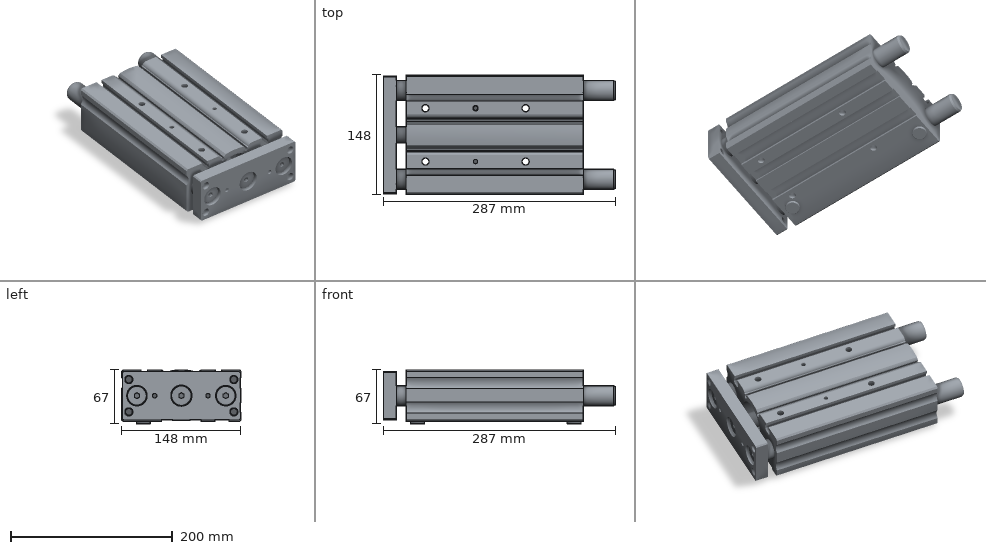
import cadquery as cq

EPS = 1.0

PLATE_LENGTH = 16.0
PLATE_WIDTH = 146.0
PLATE_HEIGHT = 60.0
PLATE_CHAMFER = 1.6
CORNER_HOLE_DIA = 8.5
CORNER_HOLE_CHAMFER = 0.8
CORNER_HOLE_Y = 65.0
CORNER_HOLE_Z = 20.0
PLATE_PIN_DIA = 5.5

PLATE_GAP = 12.0
HOUSING_LENGTH = 219.5
HOUSING_WIDTH = 148.0
HOUSING_HEIGHT = 64.0
TOP_EDGE_CHAMFER = 2.0
BOTTOM_EDGE_CHAMFER = 2.0
HOUSING_FRONT = PLATE_LENGTH + PLATE_GAP
HOUSING_REAR = HOUSING_FRONT + HOUSING_LENGTH
HALF_WIDTH = HOUSING_WIDTH / 2
HALF_HEIGHT = HOUSING_HEIGHT / 2

TOP_PAD_EDGE = 25.5
TOP_VALLEY_OUTER = 21.0
TOP_VALLEY_INNER = 16.2
TOP_CROWN_EDGE = 13.5
TOP_CROWN_DROP = 1.4
TOP_VALLEY_DEPTH = 4.2
TOP_PAD_BULGE = 0.6
BOTTOM_PAD_EDGE = 24.5
BOTTOM_CROWN_EDGE = 10.8
BOTTOM_CROWN_DROP = 1.0
BOTTOM_VALLEY_DEPTH = 3.0

SENSOR_SLOT_Y = 17.9
SENSOR_SLOT_MOUTH = 3.0
SENSOR_SLOT_DIA = 4.6
SENSOR_SLOT_Z = 24.8

T_SLOT_Y = 46.0
T_SLOT_MOUTH = 7.8
T_SLOT_LIP = 4.5
T_SLOT_INNER_WIDTH = 12.5
T_SLOT_DEPTH = 12.0
T_SLOT_FLOOR_CHAMFER = 2.0

BOTTOM_GROOVE_INNER = 41.5
BOTTOM_GROOVE_OUTER = 58.9
BOTTOM_GROOVE_DEPTH = 3.0

SIDE_GROOVE_DEPTH = 3.0
UPPER_SIDE_GROOVE = (8.6, 22.8)
LOWER_SIDE_GROOVE = (-21.3, -7.8)

MOUNT_HOLE_DIA = 8.5
MOUNT_HOLE_Y = 33.0
MOUNT_HOLE_OFFSET = 24.0
MOUNT_HOLE_PITCH = 124.0
TOP_PIN_DIA = 5.5
TOP_PIN_DEPTH = 8.0
TOP_PIN_CHAMFER = 0.6

FRONT_RECESS_DIA = 49.0
FRONT_RECESS_DEPTH = 30.0

GUIDE_DIA = 25.0
GUIDE_Y = 55.0
GUIDE_REAR_LENGTH = 39.5
GUIDE_END_BEVEL_LENGTH = 2.5
GUIDE_END_BEVEL = 1.2
PISTON_ROD_DIA = 20.5
PISTON_ROD_END_WALL = 15.0

COUNTERBORE_DEPTH = 10.0
GUIDE_COUNTERBORE_DIA = 25.3
PISTON_COUNTERBORE_DIA = 26.2
HEAD_CLEARANCE = 1.0
HEAD_RECESS = 4.0
HEAD_FILLET = 0.6
SHANK_DIA = 12.0
SOCKET_ACROSS_CORNERS = 7.3
SOCKET_DEPTH = 4.0

PLUG_DIA = 17.6
PLUG_THICKNESS = 3.0
PLUG_STEM_DIA = 13.0
PLUG_STEM_LENGTH = 9.0
PLUG_CHAMFER = 0.4
PLUG_Y = 47.0
PLUG_FRONT_OFFSET = 14.2
PLUG_REAR_OFFSET = 11.5
PLUG_XS = (HOUSING_FRONT + PLUG_FRONT_OFFSET, HOUSING_REAR - PLUG_REAR_OFFSET)


def cylinder_x(diameter, x_start, x_end, y=0.0):
    """Cylinder along X, centred on height Z = 0."""
    section = cq.Workplane("YZ", origin=(x_start, y, 0)).circle(diameter / 2)
    return section.extrude(x_end - x_start)


def cylinder_z(diameter, x, y, z_start, z_end):
    """Cylinder along Z."""
    section = cq.Workplane("XY", origin=(x, y, z_start)).circle(diameter / 2)
    return section.extrude(z_end - z_start)


def housing_section():
    """Workplane for Y-Z sections that run the length of the housing."""
    return cq.Workplane("YZ", origin=(HOUSING_FRONT, 0, 0))


def box_groove(y_a, y_b, z_a, z_b):
    """Rectangular groove along the whole housing."""
    section = housing_section().moveTo((y_a + y_b) / 2, (z_a + z_b) / 2)
    return section.rect(abs(y_b - y_a), abs(z_b - z_a)).extrude(HOUSING_LENGTH)


def housing_block():
    """Housing bar with its crowned top and bottom faces."""
    top = HALF_HEIGHT
    bottom = -HALF_HEIGHT
    top_edge = HALF_WIDTH - TOP_EDGE_CHAMFER
    bottom_edge = HALF_WIDTH - BOTTOM_EDGE_CHAMFER
    top_valley = top - TOP_VALLEY_DEPTH
    top_crown = top - TOP_CROWN_DROP
    bulge_y = (TOP_PAD_EDGE + TOP_VALLEY_OUTER) / 2 - TOP_PAD_BULGE
    bulge_z = (top + top_valley) / 2 + TOP_PAD_BULGE
    bottom_valley = bottom + BOTTOM_VALLEY_DEPTH
    bottom_crown = bottom + BOTTOM_CROWN_DROP
    return (
        housing_section()
        .moveTo(-HALF_WIDTH, top - TOP_EDGE_CHAMFER)
        .lineTo(-top_edge, top)
        .lineTo(-TOP_PAD_EDGE, top)
        .threePointArc((-bulge_y, bulge_z), (-TOP_VALLEY_OUTER, top_valley))
        .lineTo(-TOP_VALLEY_INNER, top_valley)
        .lineTo(-TOP_CROWN_EDGE, top_crown)
        .threePointArc((0, top), (TOP_CROWN_EDGE, top_crown))
        .lineTo(TOP_VALLEY_INNER, top_valley)
        .lineTo(TOP_VALLEY_OUTER, top_valley)
        .threePointArc((bulge_y, bulge_z), (TOP_PAD_EDGE, top))
        .lineTo(top_edge, top)
        .lineTo(HALF_WIDTH, top - TOP_EDGE_CHAMFER)
        .lineTo(HALF_WIDTH, bottom + BOTTOM_EDGE_CHAMFER)
        .lineTo(bottom_edge, bottom)
        .lineTo(BOTTOM_PAD_EDGE, bottom)
        .lineTo(BOTTOM_PAD_EDGE, bottom_valley)
        .lineTo(BOTTOM_CROWN_EDGE, bottom_valley)
        .lineTo(BOTTOM_CROWN_EDGE, bottom_crown)
        .lineTo(-BOTTOM_CROWN_EDGE, bottom_crown)
        .lineTo(-BOTTOM_CROWN_EDGE, bottom_valley)
        .lineTo(-BOTTOM_PAD_EDGE, bottom_valley)
        .lineTo(-BOTTOM_PAD_EDGE, bottom)
        .lineTo(-bottom_edge, bottom)
        .lineTo(-HALF_WIDTH, bottom + BOTTOM_EDGE_CHAMFER)
        .close()
        .extrude(HOUSING_LENGTH)
    )


def t_slot(y):
    """T-slot opening to the top face."""
    top = HALF_HEIGHT
    mouth = box_groove(y - T_SLOT_MOUTH / 2, y + T_SLOT_MOUTH / 2, top - T_SLOT_DEPTH, top + EPS)
    inner_half = T_SLOT_INNER_WIDTH / 2
    inner = box_groove(y - inner_half, y + inner_half, top - T_SLOT_DEPTH, top - T_SLOT_LIP)
    inner = inner.faces("<Z").edges("|X").chamfer(T_SLOT_FLOOR_CHAMFER)
    return mouth.union(inner)


def sensor_slot(y):
    """Keyhole slot opening to the top valley."""
    half_mouth = SENSOR_SLOT_MOUTH / 2
    mouth = box_groove(y - half_mouth, y + half_mouth, SENSOR_SLOT_Z, HALF_HEIGHT)
    round_bottom = (
        housing_section()
        .center(y, SENSOR_SLOT_Z)
        .circle(SENSOR_SLOT_DIA / 2)
        .extrude(HOUSING_LENGTH)
    )
    return mouth.union(round_bottom)


def side_groove(side, z_range):
    """Rounded groove in the +Y (side = 1) or -Y (side = -1) face."""
    z_low, z_high = z_range
    face = side * HALF_WIDTH
    deepest = face - side * SIDE_GROOVE_DEPTH
    return (
        housing_section()
        .moveTo(face, z_low)
        .threePointArc((deepest, (z_low + z_high) / 2), (face, z_high))
        .close()
        .extrude(HOUSING_LENGTH)
    )


def build_housing():
    body = housing_block()
    for side in (-1, 1):
        body = body.cut(t_slot(side * T_SLOT_Y))
        body = body.cut(sensor_slot(side * SENSOR_SLOT_Y))
        body = body.cut(side_groove(side, UPPER_SIDE_GROOVE))
    body = body.cut(side_groove(-1, LOWER_SIDE_GROOVE))
    groove_floor = BOTTOM_GROOVE_DEPTH - HALF_HEIGHT
    body = body.cut(
        box_groove(-BOTTOM_GROOVE_OUTER, -BOTTOM_GROOVE_INNER, -HALF_HEIGHT - EPS, groove_floor)
    )

    first_x = HOUSING_FRONT + MOUNT_HOLE_OFFSET
    pin_x = first_x + MOUNT_HOLE_PITCH / 2
    for y in (-MOUNT_HOLE_Y, MOUNT_HOLE_Y):
        for x in (first_x, first_x + MOUNT_HOLE_PITCH):
            body = body.cut(cylinder_z(MOUNT_HOLE_DIA, x, y, -HALF_HEIGHT - EPS, HALF_HEIGHT + EPS))
        body = body.cut(cylinder_z(TOP_PIN_DIA, pin_x, y, HALF_HEIGHT - TOP_PIN_DEPTH, HALF_HEIGHT))

    pin_radius = TOP_PIN_DIA / 2
    countersink = cq.Solid.makeCone(
        pin_radius,
        pin_radius + TOP_PIN_CHAMFER,
        TOP_PIN_CHAMFER,
        pnt=cq.Vector(pin_x, MOUNT_HOLE_Y, HALF_HEIGHT - TOP_PIN_CHAMFER),
    )
    body = body.cut(cq.Workplane(countersink))

    for y in (-GUIDE_Y, GUIDE_Y):
        body = body.cut(cylinder_x(GUIDE_DIA, HOUSING_FRONT, HOUSING_REAR, y))
    body = body.cut(cylinder_x(PISTON_ROD_DIA, HOUSING_FRONT, HOUSING_REAR - PISTON_ROD_END_WALL))
    body = body.cut(cylinder_x(FRONT_RECESS_DIA, HOUSING_FRONT, HOUSING_FRONT + FRONT_RECESS_DEPTH))
    for x in PLUG_XS:
        body = body.cut(
            cylinder_z(PLUG_STEM_DIA, x, PLUG_Y, -HALF_HEIGHT, PLUG_STEM_LENGTH - HALF_HEIGHT)
        )
    return body


def screw_head(counterbore_dia, y=0.0):
    """Screw head with a hexagon socket, and its shank through the plate."""
    head_dia = counterbore_dia - 2 * HEAD_CLEARANCE
    head = cylinder_x(head_dia, HEAD_RECESS, COUNTERBORE_DEPTH, y)
    head = head.faces("<X").edges().fillet(HEAD_FILLET)
    socket = (
        cq.Workplane("YZ", origin=(HEAD_RECESS, y, 0))
        .transformed(rotate=(0, 0, 90))
        .polygon(6, SOCKET_ACROSS_CORNERS)
        .extrude(SOCKET_DEPTH)
    )
    shank = cylinder_x(SHANK_DIA, COUNTERBORE_DEPTH, PLATE_LENGTH, y)
    return head.cut(socket).union(shank)


def build_carriage():
    """End plate with the piston rod fixed to it."""
    plate = (
        cq.Workplane("YZ")
        .rect(PLATE_WIDTH, PLATE_HEIGHT)
        .extrude(PLATE_LENGTH)
        .edges("|X")
        .chamfer(PLATE_CHAMFER)
    )
    corner_holes = (
        cq.Workplane("YZ")
        .rect(2 * CORNER_HOLE_Y, 2 * CORNER_HOLE_Z, forConstruction=True)
        .vertices()
        .circle(CORNER_HOLE_DIA / 2)
        .extrude(PLATE_LENGTH)
    )
    plate = plate.cut(corner_holes)
    hole_mouths = cq.selectors.BoxSelector(
        (-EPS, -PLATE_WIDTH / 2 + 2 * PLATE_CHAMFER, -PLATE_HEIGHT / 2 + 2 * PLATE_CHAMFER),
        (EPS, PLATE_WIDTH / 2 - 2 * PLATE_CHAMFER, PLATE_HEIGHT / 2 - 2 * PLATE_CHAMFER),
    )
    plate = plate.edges(hole_mouths).chamfer(CORNER_HOLE_CHAMFER)
    for y in (-MOUNT_HOLE_Y, MOUNT_HOLE_Y):
        plate = plate.cut(cylinder_x(PLATE_PIN_DIA, 0, PLATE_LENGTH, y))
    for y in (-GUIDE_Y, GUIDE_Y):
        plate = plate.cut(cylinder_x(GUIDE_COUNTERBORE_DIA, 0, COUNTERBORE_DEPTH, y))
        plate = plate.cut(cylinder_x(SHANK_DIA, 0, PLATE_LENGTH, y))
    plate = plate.cut(cylinder_x(PISTON_COUNTERBORE_DIA, 0, COUNTERBORE_DEPTH))
    piston_rod = cylinder_x(PISTON_ROD_DIA, PLATE_LENGTH, HOUSING_REAR - PISTON_ROD_END_WALL)
    return plate.union(screw_head(PISTON_COUNTERBORE_DIA)).union(piston_rod)


def build_guide_rod(y):
    """Guide rod with bevelled rear end and the screw head that holds it."""
    rod = cylinder_x(GUIDE_DIA, PLATE_LENGTH, HOUSING_REAR + GUIDE_REAR_LENGTH, y)
    rod = rod.faces(">X").chamfer(GUIDE_END_BEVEL_LENGTH, GUIDE_END_BEVEL)
    return rod.union(screw_head(GUIDE_COUNTERBORE_DIA, y))


def build_port_plug(x):
    """Plug closing a port in the bottom face."""
    flange = cylinder_z(PLUG_DIA, x, PLUG_Y, -HALF_HEIGHT - PLUG_THICKNESS, -HALF_HEIGHT)
    flange = flange.faces("<Z").chamfer(PLUG_CHAMFER)
    stem = cylinder_z(PLUG_STEM_DIA, x, PLUG_Y, -HALF_HEIGHT, PLUG_STEM_LENGTH - HALF_HEIGHT)
    return flange.union(stem)


housing = build_housing()
carriage = build_carriage()
guide_rods = [build_guide_rod(y) for y in (-GUIDE_Y, GUIDE_Y)]
port_plugs = [build_port_plug(x) for x in PLUG_XS]

result = cq.Compound.makeCompound(
    [
        housing.val(),
        carriage.val(),
        *[rod.val() for rod in guide_rods],
        *[plug.val() for plug in port_plugs],
    ]
)